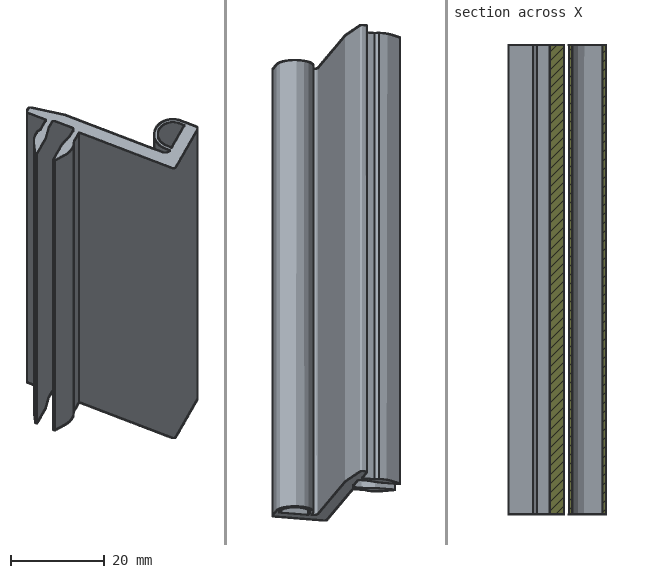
import cadquery as cq

length = 100.0
width = 35.0
height = 20.8

base_bottom = 8.8
base_top = 11.7
wall_thickness = 3.0
nose_top = 10.3
nose_length = 7.8
nose_radius = 0.5
outer_corner_radius = 0.6
inner_corner_radius = 1.2

bulb_radius = 4.0
bulb_skin = 0.8
bulb_center_x = 30.8

prong_center_x = 8.6
neck_inner = 2.5
neck_outer = 3.9
barb_inner = 1.9
barb_outer = 4.3
tip_width = 0.4
inner_flare_start = 7.2
inner_flare_end = 4.4
outer_flare_start = 6.1
outer_flare_end = 5.2
barb_top = 4.8
barb_middle = 4.2
barb_shoulder = 3.7
barb_bottom = 2.3
groove_top = 9.3
groove_radius = 0.5

wall_inner_x = width - wall_thickness
bulb_center_y = height - bulb_radius


def make_body():
    """L-shaped body with a tapered nose and softened corners."""
    body = (
        cq.Workplane("XY")
        .moveTo(0, base_bottom)
        .lineTo(width, base_bottom)
        .lineTo(width, height)
        .lineTo(wall_inner_x, height)
        .lineTo(wall_inner_x, base_top)
        .lineTo(nose_length, base_top)
        .lineTo(0, nose_top)
        .close()
        .extrude(length)
    )
    body = body.edges("|Z and <X").fillet(nose_radius)
    body = body.edges("|Z and >X").fillet(outer_corner_radius)
    inner_corner = cq.selectors.NearestToPointSelector((wall_inner_x, base_top, length / 2))
    return body.edges(inner_corner).fillet(inner_corner_radius)


def d_shape(radius):
    """D-shaped bar: a half round continued straight to the wall."""
    return (
        cq.Workplane("XY")
        .moveTo(wall_inner_x, bulb_center_y + radius)
        .lineTo(bulb_center_x, bulb_center_y + radius)
        .threePointArc(
            (bulb_center_x - radius, bulb_center_y),
            (bulb_center_x, bulb_center_y - radius),
        )
        .lineTo(wall_inner_x, bulb_center_y - radius)
        .close()
        .extrude(length)
    )


def make_prong(side):
    """One prong; side is -1 for the left one and 1 for the right one."""

    def point(offset, y):
        return (prong_center_x + side * offset, y)

    return (
        cq.Workplane("XY")
        .moveTo(*point(barb_outer, outer_flare_end))
        .lineTo(*point(neck_outer, outer_flare_start))
        .lineTo(*point(neck_outer, groove_top))
        .lineTo(*point(neck_inner, groove_top))
        .lineTo(*point(neck_inner, inner_flare_start))
        .lineTo(*point(barb_inner, inner_flare_end))
        .lineTo(*point(barb_inner, 0))
        .lineTo(*point(barb_inner + tip_width, 0))
        .lineTo(*point(barb_shoulder, barb_bottom))
        .threePointArc(point(barb_middle, (barb_bottom + barb_top) / 2), point(barb_outer, barb_top))
        .close()
        .extrude(length)
    )


def make_groove():
    """Shallow round-cornered groove in the base between the prongs."""
    groove_depth = groove_top - base_bottom
    cutter_height = 2 * groove_depth + groove_radius
    return (
        cq.Workplane("XY")
        .center(prong_center_x, groove_top - cutter_height / 2)
        .rect(2 * neck_inner, cutter_height)
        .extrude(length)
        .edges("|Z and >Y")
        .fillet(groove_radius)
    )


bulb = d_shape(bulb_radius).cut(d_shape(bulb_radius - bulb_skin))
result = make_body().union(bulb)
for prong_side in (-1, 1):
    result = result.union(make_prong(prong_side))
result = result.cut(make_groove())